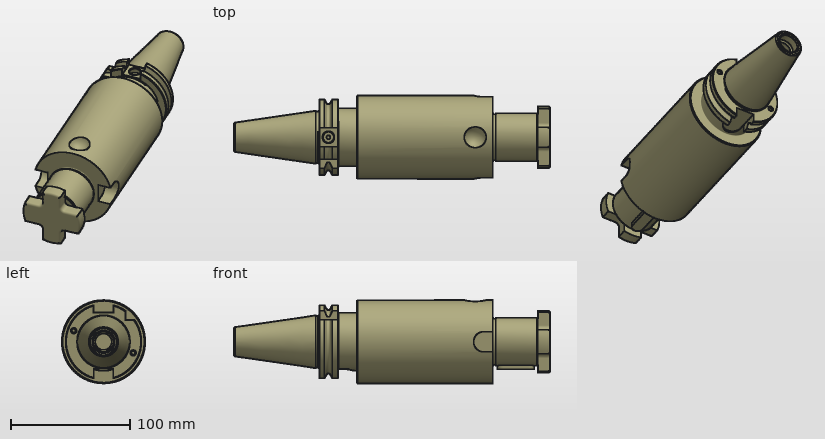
import cadquery as cq
import math


total_length = 265.5
gauge_x = 68.7
flange_start = 71.7
flange_end = 87.5
body_start = 103.2
body_end = 217.4
pilot_end = 255.0

taper_large_radius = 22.3
taper_relief_radius = 21.8
taper_relief_fillet = 1.0
tip_chamfer = 1.0
taper_ratio = 7 / 24
taper_small_radius = taper_large_radius - gauge_x * taper_ratio / 2
flange_radius = 31.8
neck_radius = 24.5
body_radius = 35.0
pilot_radius = 20.2
edge_chamfer = 0.8
neck_fillet = 0.5
flange_chamfer = 0.5

groove_center_x = 79.4
groove_root_radius = 28.7
groove_bottom_radius = 27.9
groove_root_width = 3.0
groove_flank_angle = 30.0

drive_slot_width = 16.2
upper_slot_floor = 25.0
lower_slot_floor = 22.8
lower_slot_end = 100.5
notch_corner = 18.5

chip_hole_radius = 4.5
chip_hole_depth = 4.5
chip_center_radius = 1.5
chip_center_depth = 1.3
chip_hole_chamfer = 0.5
coolant_hole_radius = 1.5
coolant_hole_chamfer = 0.8
coolant_hole_depth = 5.3
coolant_hole_y = 25.0
coolant_hole_z = 9.3

bore_mouth_radius = 9.5
counterbore_radius = 8.5
counterbore_depth = 8.0
thread_radius = 7.0
thread_depth = 31.8

side_slot_width = 17.0
side_slot_start = 201.2
side_slot_floor = 22.8
dimple_x = 202.5
dimple_center_z = 38.5
dimple_radius = 9.8
pilot_relief_width = 2.5
pilot_relief_radius = 19.5
pilot_relief_fillet = 1.0

key_start = 220.8
key_length = 31.3
key_width = 10.0
key_outer_z = 23.0
key_height = 8.0

screw_radius = 26.0
lobe_half_width_y = 8.2
lobe_half_width_z = 10.0
lobe_fillet = 3.7
screw_end_fillet = 2.0


def cylinder(start, end, radius):
    return cq.Workplane("YZ").workplane(offset=start).circle(radius).extrude(end - start)


def block(x_range, y_range, z_range):
    """Box spanning the given ranges."""
    size = [high - low for low, high in (x_range, y_range, z_range)]
    corner = (x_range[0], y_range[0], z_range[0])
    return cq.Workplane("XY").box(*size, centered=False).translate(corner)


def make_shaft():
    """Turned holder without its flange: taper, neck, body and pilot."""
    return (
        cq.Workplane("XY")
        .lineTo(0, taper_small_radius - tip_chamfer)
        .lineTo(tip_chamfer, taper_small_radius + tip_chamfer * taper_ratio / 2)
        .lineTo(gauge_x, taper_large_radius)
        .lineTo(gauge_x, taper_relief_radius)
        .lineTo(flange_start - taper_relief_fillet, taper_relief_radius)
        .tangentArcPoint((taper_relief_fillet, taper_relief_fillet))
        .lineTo(flange_end, neck_radius + neck_fillet)
        .radiusArc((flange_end + neck_fillet, neck_radius), -neck_fillet)
        .lineTo(body_start - neck_fillet, neck_radius)
        .tangentArcPoint((neck_fillet, neck_fillet))
        .lineTo(body_start, body_radius - edge_chamfer)
        .lineTo(body_start + edge_chamfer, body_radius)
        .lineTo(body_end, body_radius)
        .lineTo(body_end, pilot_relief_radius + pilot_relief_fillet)
        .tangentArcPoint((pilot_relief_fillet, -pilot_relief_fillet))
        .lineTo(body_end + pilot_relief_width, pilot_relief_radius)
        .lineTo(body_end + pilot_relief_width, pilot_radius)
        .lineTo(pilot_end - edge_chamfer, pilot_radius)
        .lineTo(pilot_end, pilot_radius - edge_chamfer)
        .lineTo(pilot_end, 0)
        .close().revolve(360, (0, 0, 0), (1, 0, 0))
    )


def make_flange():
    """Flange disc with the upper drive slot, the notch and the gripper groove."""
    half = drive_slot_width / 2
    x_range = (flange_start, flange_end)
    flange = cylinder(flange_start, flange_end, flange_radius)
    flange = flange.cut(block(x_range, (-half, half), (upper_slot_floor, flange_radius)))
    notch = block(x_range, (-flange_radius, -notch_corner), (notch_corner, flange_radius))
    flange = flange.cut(notch).faces("<X or >X").edges().chamfer(flange_chamfer)
    return flange.cut(gripper_groove())


def gripper_groove():
    depth = flange_radius - groove_root_radius
    root = groove_root_width / 2
    mouth = root + depth * math.tan(math.radians(groove_flank_angle))
    return (
        cq.Workplane("XY")
        .moveTo(groove_center_x - root, groove_root_radius)
        .lineTo(groove_center_x - mouth, flange_radius)
        .lineTo(groove_center_x + mouth, flange_radius)
        .lineTo(groove_center_x + root, groove_root_radius)
        .threePointArc(
            (groove_center_x, groove_bottom_radius), (groove_center_x - root, groove_root_radius)
        )
        .close().revolve(360, (0, 0, 0), (1, 0, 0))
    )


def lower_drive_slot():
    """Slot through the flange that runs out in a round end in the neck."""
    half = drive_slot_width / 2
    round_center_x = lower_slot_end - half
    z_range = (-flange_radius, -lower_slot_floor)
    straight = block((gauge_x, round_center_x), (-half, half), z_range)
    round_end = (
        cq.Workplane("XY").workplane(offset=-flange_radius)
        .center(round_center_x, 0).circle(half).extrude(flange_radius - lower_slot_floor)
    )
    return straight.union(round_end)


def chip_hole():
    """Data chip seat in the upper drive slot, with a small center hole in its floor."""
    outline = [
        (0, 0),
        (chip_hole_radius + chip_hole_chamfer, 0),
        (chip_hole_radius, -chip_hole_chamfer),
        (chip_hole_radius, -chip_hole_depth),
        (chip_center_radius, -chip_hole_depth),
        (chip_center_radius, -chip_hole_depth - chip_center_depth),
        (0, -chip_hole_depth - chip_center_depth),
    ]
    hole = cq.Workplane("XZ").polyline(outline).close().revolve(360, (0, 0, 0), (0, 1, 0))
    return hole.translate((groove_center_x, 0, upper_slot_floor))


def coolant_hole(y, z):
    outline = [
        (0, 0),
        (0, coolant_hole_radius + coolant_hole_chamfer),
        (coolant_hole_chamfer, coolant_hole_radius),
        (coolant_hole_depth, coolant_hole_radius),
        (coolant_hole_depth, 0),
    ]
    hole = cq.Workplane("XY").polyline(outline).close().revolve(360, (0, 0, 0), (1, 0, 0))
    return hole.translate((flange_start, y, z))


def draw_bar_bore():
    outline = [
        (0, 0),
        (0, bore_mouth_radius),
        (bore_mouth_radius - counterbore_radius, counterbore_radius),
        (counterbore_depth, counterbore_radius),
        (counterbore_depth + counterbore_radius - thread_radius, thread_radius),
        (thread_depth, thread_radius),
        (thread_depth, 0),
    ]
    return cq.Workplane("XY").polyline(outline).close().revolve(360, (0, 0, 0), (1, 0, 0))


def side_slot(side):
    """Round-ended drive slot in the body, on the +Y (1) or -Y (-1) side."""
    half = side_slot_width / 2
    round_center_x = side_slot_start + half
    y_range = sorted((side * side_slot_floor, side * body_radius))
    straight = block((round_center_x, body_end), y_range, (-half, half))
    round_end = (
        cq.Workplane("XZ", origin=(round_center_x, y_range[1], 0))
        .circle(half).extrude(y_range[1] - y_range[0])
    )
    return straight.union(round_end)


def make_key():
    """Round-ended feather key under the pilot."""
    return (
        cq.Workplane("XY", origin=(key_start + key_length / 2, 0, -key_outer_z))
        .slot2D(key_length, key_width).extrude(key_height)
    )


def make_holder():
    holder = make_shaft().union(make_flange()).cut(lower_drive_slot())
    holder = holder.cut(chip_hole()).cut(draw_bar_bore())
    for side in (-1, 1):
        holder = holder.cut(coolant_hole(side * coolant_hole_y, side * coolant_hole_z))
        holder = holder.cut(side_slot(side))
    dimple = cq.Workplane("XY").sphere(dimple_radius).translate((dimple_x, 0, dimple_center_z))
    return holder.cut(dimple).cut(make_key())


def make_locking_screw():
    """Round head cut back at its four corners to leave a cross of four lobes."""
    head = cylinder(pilot_end, total_length, screw_radius)
    for y_side in (-1, 1):
        for z_side in (-1, 1):
            y_range = sorted((y_side * lobe_half_width_y, y_side * screw_radius))
            z_range = sorted((z_side * lobe_half_width_z, z_side * screw_radius))
            head = head.cut(block((pilot_end, total_length), y_range, z_range))
    inner = lobe_half_width_y + lobe_half_width_z
    corners = cq.selectors.BoxSelector(
        (pilot_end, -inner, -inner), (total_length, inner, inner)
    )
    head = head.edges("|X").edges(corners).fillet(lobe_fillet)
    return head.faces(">X").edges().fillet(screw_end_fillet)


holder = make_holder()
key = make_key()
locking_screw = make_locking_screw()
result = cq.Compound.makeCompound([holder.val(), key.val(), locking_screw.val()])